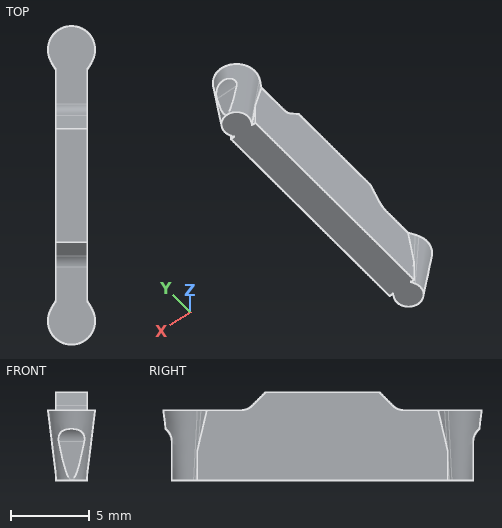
import cadquery as cq
import math

overall_length = 20.34
overall_height = 5.65
seat_height = 4.5
shank_width = 2.02

ridge_top_length = 7.25
ridge_slope_angle = math.radians(45)
ridge_foot_radius = 1.0

head_radius = 1.515
relief_angle = math.radians(7)
head_center_y = overall_length / 2 - head_radius
head_foot_radius = head_radius - seat_height * math.tan(relief_angle)
foot_scale = head_foot_radius / head_radius
tangent_angle = math.radians(25.5)
flank_offset = 0.885
neck_offset = 1.28
neck_root_half_width = 0.85
shank_half_length = 7.98

nose_flat_depth = 0.545
nose_flat_top = 2.5
nose_runout_radius = 1.0


def make_shank():
    """Central blade: a side profile with the raised ridge, extruded across X."""
    ridge_half = ridge_top_length / 2
    slope_foot = ridge_half + (overall_height - seat_height) / math.tan(ridge_slope_angle)
    fillet_reach = ridge_foot_radius * math.tan(ridge_slope_angle / 2)
    arc_start_y = slope_foot - fillet_reach * math.cos(ridge_slope_angle)
    arc_start_z = seat_height + fillet_reach * math.sin(ridge_slope_angle)
    arc_end_y = slope_foot + fillet_reach
    half_sweep = ridge_slope_angle / 2
    arc_mid_y = arc_end_y - ridge_foot_radius * math.sin(half_sweep)
    arc_mid_z = seat_height + ridge_foot_radius * (1 - math.cos(half_sweep))

    return (
        cq.Workplane("YZ", origin=(-shank_width / 2, 0, 0))
        .moveTo(-shank_half_length, 0)
        .lineTo(shank_half_length, 0)
        .lineTo(shank_half_length, seat_height)
        .lineTo(arc_end_y, seat_height)
        .threePointArc((arc_mid_y, arc_mid_z), (arc_start_y, arc_start_z))
        .lineTo(ridge_half, overall_height)
        .lineTo(-ridge_half, overall_height)
        .lineTo(-arc_start_y, arc_start_z)
        .threePointArc((-arc_mid_y, arc_mid_z), (-arc_end_y, seat_height))
        .lineTo(-shank_half_length, seat_height)
        .close()
        .extrude(shank_width)
    )


def head_wire(z, scale):
    """Keyhole outline of the +Y head at height z, scaled about the head centre."""
    round_x = head_radius * math.cos(tangent_angle)
    round_offset = head_radius * math.sin(tangent_angle)
    flank_x = round_x - (flank_offset - round_offset) * math.tan(tangent_angle)
    neck_slope = (flank_x - shank_width / 2) / (neck_offset - flank_offset)
    root_offset = flank_offset + (flank_x - neck_root_half_width) / neck_slope

    outline = (
        cq.Workplane("XY", origin=(0, head_center_y, z))
        .moveTo(-neck_root_half_width * scale, -root_offset * scale)
        .lineTo(-flank_x * scale, -flank_offset * scale)
        .lineTo(-round_x * scale, -round_offset * scale)
        .threePointArc((0, head_radius * scale), (round_x * scale, -round_offset * scale))
        .lineTo(flank_x * scale, -flank_offset * scale)
        .lineTo(neck_root_half_width * scale, -root_offset * scale)
        .close()
    )
    return outline.val()


def make_nose_cutter():
    """Material removed from the +Y nose: an upright flat that runs out in an arc."""
    flat_y = overall_length / 2 - nose_flat_depth
    runout_half = nose_runout_radius * math.sin(math.pi / 4)
    return (
        cq.Workplane("YZ", origin=(-head_radius, 0, 0))
        .moveTo(flat_y, 0)
        .lineTo(flat_y, nose_flat_top)
        .threePointArc(
            (flat_y + nose_runout_radius - runout_half, nose_flat_top + runout_half),
            (flat_y + nose_runout_radius, nose_flat_top + nose_runout_radius),
        )
        .lineTo(flat_y + nose_runout_radius, 0)
        .close()
        .extrude(2 * head_radius)
    )


def make_head():
    """Tapered +Y cutting head with its nose flat."""
    wires = [head_wire(0, foot_scale), head_wire(seat_height, 1)]
    head = cq.Workplane(cq.Solid.makeLoft(wires, True))
    return head.cut(make_nose_cutter())


head = make_head()
result = make_shank().union(head).union(head.mirror("XZ"))